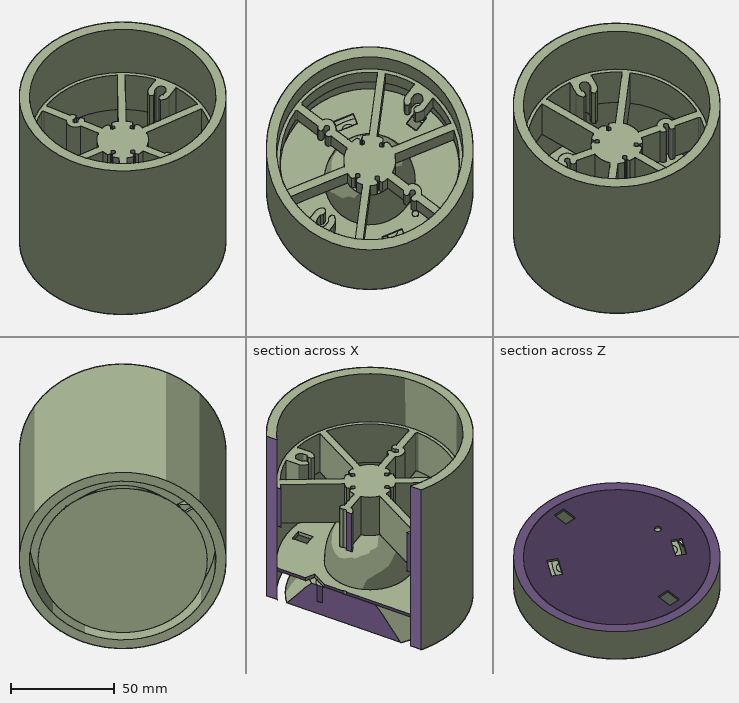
import cadquery as cq
import math

tube_length = 100.0
tube_radius = 50.0
bore_radius = 45.0

spider_top = 70.0
spider_bottom = 46.0
plate_top = 20.0
plate_thickness = 2.0
plate_bottom = plate_top - plate_thickness
spider_height = spider_top - spider_bottom

rim_inner_radius = 43.3
hub_radius = 12.5
spoke_count = 6
spoke_width = 3.8
rim_corner_radius = 0.8
edge_reach = 0.1

keyhole_angles = [90, 270]
keyhole_boss_half_width = 5.6
keyhole_half_width = 2.5
keyhole_end = 38.1
keyhole_shoulder = 36.0
keyhole_neck_half_width = 1.5
keyhole_neck_outer = 34.8
keyhole_neck_inner = 33.2
jaw_tip = (3.1, 32.1)
jaw_side = (4.8, 33.6)
jaw_inside = (2.2, 32.4)

spoke_channel_distance = 26.1
spoke_channel_boss_radius = 4.4
spoke_channel_boss_flat = 3.2
spoke_channel_radius = 1.3
spoke_channel_gap = 1.9
spoke_channel_lip_radius = 0.9

hub_channel_angles = [90, 150, 270, 330]
hub_channel_distance = 9.5
hub_channel_radius = 1.1
hub_channel_gap = 0.9
hub_channel_mouth_depth = 1.2
hub_channel_mouth_width = 3.0

window_angles = [150, 330]
window_distance = 30.7
window_depth = 5.3
window_length = 10.4
relief_inner = 33.0
relief_outer = 41.0
relief_width = 6.0
wire_hole_radius = 1.6
wire_hole_centre = (-27.4, -0.5)

dome_base_radius = 22.0
dome_height = spider_bottom - plate_top

cone_top_radius = 31.5
cone_half_angle = 27.5
cone_bottom_radius = cone_top_radius + plate_bottom * math.tan(math.radians(cone_half_angle))
pin_angles = window_angles
pin_distance = 26.6
pin_radius = 3.3
pin_length = 10.0


def around_axis(shape, angle):
    """Turn a feature about the Z axis."""
    return shape.rotate((0, 0, 0), (0, 0, 1), angle)


def make_tube():
    return cq.Workplane("XY").circle(tube_radius).circle(bore_radius).extrude(tube_length)


def spider_plane():
    return cq.Workplane("XY").workplane(offset=spider_bottom)


def make_spider_frame():
    """Rim ring, hub and spokes, rounded where the two X spokes meet the rim."""
    frame = spider_plane().circle(bore_radius).circle(rim_inner_radius).extrude(spider_height)
    frame = frame.union(spider_plane().circle(hub_radius).extrude(spider_height))
    spoke_reach = (rim_inner_radius + bore_radius) / 2
    spoke = spider_plane().center(spoke_reach / 2, 0).rect(spoke_reach, spoke_width).extrude(spider_height)
    for i in range(spoke_count):
        frame = frame.union(around_axis(spoke, i * 360 / spoke_count))
    corner_x = math.sqrt(rim_inner_radius**2 - (spoke_width / 2) ** 2)
    for side in (-1, 1):
        near_corners = cq.selectors.BoxSelector(
            (side * corner_x - edge_reach, -spoke_width, spider_bottom),
            (side * corner_x + edge_reach, spoke_width, spider_top),
        )
        frame = frame.edges("|Z").edges(near_corners).fillet(rim_corner_radius)
    return frame


def make_keyhole_boss():
    """Two-jawed boss on the +Y side, open toward the hub."""
    rim_middle = (rim_inner_radius + bore_radius) / 2
    return (
        spider_plane()
        .moveTo(-keyhole_boss_half_width, rim_middle)
        .lineTo(-keyhole_boss_half_width, keyhole_shoulder)
        .threePointArc((-jaw_side[0], jaw_side[1]), (-jaw_tip[0], jaw_tip[1]))
        .threePointArc((-jaw_inside[0], jaw_inside[1]), (-keyhole_neck_half_width, keyhole_neck_inner))
        .lineTo(-keyhole_neck_half_width, keyhole_neck_outer)
        .lineTo(-keyhole_half_width, keyhole_shoulder)
        .lineTo(-keyhole_half_width, keyhole_end)
        .threePointArc((0, keyhole_end + keyhole_half_width), (keyhole_half_width, keyhole_end))
        .lineTo(keyhole_half_width, keyhole_shoulder)
        .lineTo(keyhole_neck_half_width, keyhole_neck_outer)
        .lineTo(keyhole_neck_half_width, keyhole_neck_inner)
        .threePointArc(jaw_inside, jaw_tip)
        .threePointArc(jaw_side, (keyhole_boss_half_width, keyhole_shoulder))
        .lineTo(keyhole_boss_half_width, rim_middle)
        .close()
        .extrude(spider_height)
    )


def add_spoke_channel(spider, side):
    """Round boss on an X spoke with a screw channel open toward +Y."""
    x = side * spoke_channel_distance
    gap_length = 2 * spoke_channel_boss_radius
    above_flat = (
        spider_plane()
        .center(x, spoke_channel_boss_flat + spoke_channel_boss_radius)
        .rect(2 * gap_length, gap_length)
        .extrude(spider_height)
    )
    gap = (
        spider_plane()
        .center(x, gap_length / 2)
        .rect(spoke_channel_gap, gap_length)
        .extrude(spider_height)
    )
    channel = spider_plane().center(x, 0).circle(spoke_channel_radius).extrude(spider_height)
    boss = spider_plane().center(x, 0).circle(spoke_channel_boss_radius).extrude(spider_height)
    boss = boss.cut(above_flat).cut(gap)
    lips = cq.selectors.BoxSelector(
        (x - spoke_channel_boss_radius, spoke_channel_boss_flat - edge_reach, spider_bottom),
        (x + spoke_channel_boss_radius, spoke_channel_boss_flat + edge_reach, spider_top),
    )
    boss = boss.edges("|Z").edges(lips).fillet(spoke_channel_lip_radius)
    return spider.union(boss).cut(gap).cut(channel)


def make_hub_channel():
    """Cutter on the +X side: round channel, narrow gap and flared mouth."""
    mouth_start = hub_radius - hub_channel_mouth_depth
    gap_length = hub_radius - hub_channel_distance
    channel = spider_plane().center(hub_channel_distance, 0).circle(hub_channel_radius).extrude(spider_height)
    gap = (
        spider_plane()
        .center(hub_channel_distance + gap_length / 2, 0)
        .rect(gap_length, hub_channel_gap)
        .extrude(spider_height)
    )
    mouth = (
        spider_plane()
        .polyline(
            [
                (mouth_start, -hub_channel_gap / 2),
                (hub_radius, -hub_channel_mouth_width / 2),
                (hub_radius, hub_channel_mouth_width / 2),
                (mouth_start, hub_channel_gap / 2),
            ]
        )
        .close()
        .extrude(spider_height)
    )
    return channel.union(gap).union(mouth)


def make_spider():
    spider = make_spider_frame()
    for angle in keyhole_angles:
        spider = spider.union(around_axis(make_keyhole_boss(), angle - 90))
    for side in (-1, 1):
        spider = add_spoke_channel(spider, side)
    for angle in hub_channel_angles:
        spider = spider.cut(around_axis(make_hub_channel(), angle))
    return spider


def make_plate():
    """Disc across the bore with two windows, two keyhole reliefs and a wire hole."""
    plane = cq.Workplane("XY").workplane(offset=plate_bottom)
    plate = plane.circle(bore_radius).extrude(plate_thickness)
    window = plane.center(window_distance, 0).rect(window_depth, window_length).extrude(plate_thickness)
    for angle in window_angles:
        plate = plate.cut(around_axis(window, angle))
    relief = (
        plane.center((relief_inner + relief_outer) / 2, 0)
        .rect(relief_outer - relief_inner, relief_width)
        .extrude(plate_thickness)
    )
    for angle in keyhole_angles:
        plate = plate.cut(around_axis(relief, angle))
    wire_hole = plane.center(*wire_hole_centre).circle(wire_hole_radius).extrude(plate_thickness)
    return plate.cut(wire_hole)


def make_dome():
    """Solid of revolution with a nearly elliptical side from the plate up to the hub's underside."""
    full_height = dome_height / math.sqrt(1 - (hub_radius / dome_base_radius) ** 2)
    middle_radius = (dome_base_radius + hub_radius) / 2
    middle_height = full_height * math.sqrt(1 - (middle_radius / dome_base_radius) ** 2)
    return (
        cq.Workplane("YZ")
        .moveTo(0, plate_top)
        .lineTo(dome_base_radius, plate_top)
        .spline(
            [(middle_radius, plate_top + middle_height), (hub_radius, spider_bottom)],
            tangents=[(0, 1), (-hub_radius * full_height**2, dome_base_radius**2 * dome_height)],
            includeCurrent=True,
        )
        .lineTo(0, spider_bottom)
        .close()
        .revolve(360, (0, 0), (0, 1))
    )


def make_pins():
    pin = (
        cq.Workplane("XY")
        .workplane(offset=plate_bottom - pin_length)
        .center(pin_distance, 0)
        .circle(pin_radius)
        .extrude(pin_length)
    )
    return [around_axis(pin, angle) for angle in pin_angles]


def make_cone_base(pins):
    """Truncated cone from the tube's foot to the plate, with a blind hole for each pin."""
    base = (
        cq.Workplane("YZ")
        .polyline([(0, 0), (cone_bottom_radius, 0), (cone_top_radius, plate_bottom), (0, plate_bottom)])
        .close()
        .revolve(360, (0, 0), (0, 1))
    )
    for pin in pins:
        base = base.cut(pin)
    return base


tube = make_tube()
spider = make_spider()
plate = make_plate()
dome = make_dome()
pins = make_pins()
cone_base = make_cone_base(pins)

result = cq.Compound.makeCompound(
    [tube.val(), spider.val(), plate.val(), dome.val(), cone_base.val(), *[pin.val() for pin in pins]]
)